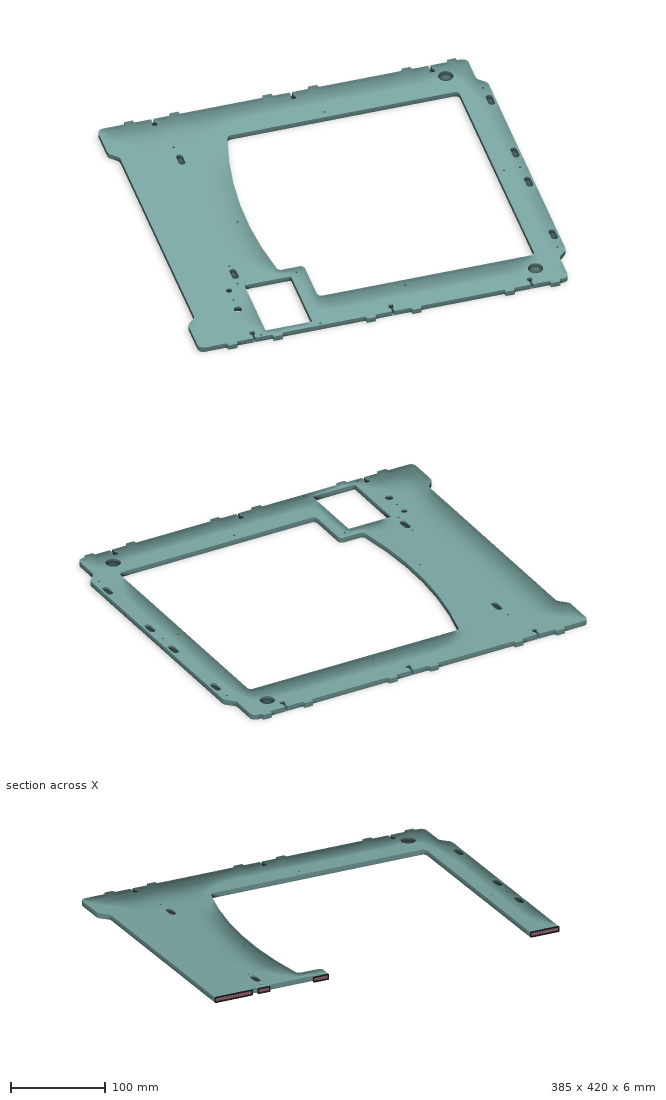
import cadquery as cq

OVERALL_WIDTH = 385.0
HEIGHT = 420.0
THICKNESS = 6.0
TAB_REACH = 3.8
HALF_BODY = OVERALL_WIDTH / 2 - TAB_REACH
HALF_HEIGHT = HEIGHT / 2

STEP = 10.0
TOP_EDGE_HALF = 143.5
BOTTOM_EDGE_HALF = 137.8
OUTLINE_RADIUS = 6.5

JOINT_PITCH = 153.7
MIDDLE_JOINT_Y = 5.0
JOINT_YS = [MIDDLE_JOINT_Y + i * JOINT_PITCH for i in (-1, 0, 1)]
TAB_OFFSET = 25.0
TAB_WIDTH = 10.0
TAB_ROOT_RADIUS = 1.5
SELECT_MARGIN = 0.5
TRAP_DEPTH_FROM_EDGE = 11.5
NUT_LENGTH = 5.0
NUT_WIDTH = 5.5
BOLT_WIDTH = 2.5
TRAP_FLOOR = 0.5

RECESS_FLOOR = 1.3
RECESS_DEPTH = THICKNESS - RECESS_FLOOR
ROUND_RECESS_DIAMETER = 16.5
ROUND_RECESSES = [(-167.0, 170.0), (164.2, 170.0)]
SLOT_LENGTH = 17.0
SLOT_WIDTH = 7.0
OUTER_SLOT_X = 116.0
INNER_SLOT_X = 25.0
TOP_SLOT_Y = 204.0
LOWER_SLOT_Y = -139.0
LOWER_RIGHT_SLOT_X = 81.0
SLOTS = [(x, TOP_SLOT_Y) for x in (-OUTER_SLOT_X, -INNER_SLOT_X, INNER_SLOT_X, OUTER_SLOT_X)]
SLOTS += [(-OUTER_SLOT_X, LOWER_SLOT_Y), (LOWER_RIGHT_SLOT_X, LOWER_SLOT_Y)]

WINDOW_LEFT = -139.0
WINDOW_RIGHT = 142.5
WINDOW_TOP = 176.0
WINDOW_ARC_BOTTOM = -101.0
WINDOW_ARC_RADIUS = 479.0
WINDOW_STEP_X = 89.0
WINDOW_STEP_Y = -64.3
WINDOW_RADIUS = 4.5

DISPLAY_LEFT = 102.5
DISPLAY_RIGHT = 180.0
DISPLAY_TOP = -82.5
DISPLAY_BOTTOM = -134.0

SCREW_DIAMETER = 2.5
SCREW_X = 137.5
TOP_SCREW_Y = 202.5
LOWER_SCREW_Y = -140.3
DISPLAY_SCREW_XS = (97.5, 185.5)
DISPLAY_SCREW_TOP_Y = -74.8
CONTROL_Y = -152.0
SCREW_HOLES = [
    (-SCREW_X, TOP_SCREW_Y),
    (0, TOP_SCREW_Y),
    (SCREW_X, TOP_SCREW_Y),
    (0, 184.5),
    (-147.5, 30.0),
    (150.8, 30.0),
    (0, -111.0),
    (-SCREW_X, LOWER_SCREW_Y),
    (67.0, LOWER_SCREW_Y),
    (122.2, CONTROL_Y),
]
SCREW_HOLES += [(x, y) for x in DISPLAY_SCREW_XS for y in (LOWER_SCREW_Y, DISPLAY_SCREW_TOP_Y)]
BUTTON_X = 106.0
BUTTON_DIAMETER = 6.7
KNOB_X = 138.0
KNOB_DIAMETER = 9.0


def box_between(left, right, bottom, top, floor=0.0):
    """Box over an X and Y range, from the given floor up to the top face."""
    height = THICKNESS - floor
    return (
        cq.Workplane("XY", origin=((left + right) / 2, (bottom + top) / 2, floor))
        .rect(right - left, top - bottom)
        .extrude(height)
    )


def body():
    """Plate outline without the side tabs, all its corners rounded."""
    right_half = [
        (TOP_EDGE_HALF, HALF_HEIGHT),
        (TOP_EDGE_HALF + STEP, HALF_HEIGHT - STEP),
        (HALF_BODY, HALF_HEIGHT - STEP),
        (HALF_BODY, -HALF_HEIGHT),
        (BOTTOM_EDGE_HALF + STEP, -HALF_HEIGHT),
        (BOTTOM_EDGE_HALF, -HALF_HEIGHT + STEP),
    ]
    left_half = [(-x, y) for x, y in reversed(right_half)]
    outline = cq.Workplane("XY").polyline(right_half + left_half).close()
    return outline.extrude(THICKNESS).edges("|Z").fillet(OUTLINE_RADIUS)


def side_tabs():
    """One bar across the full width for each mirrored pair of tabs."""
    centres = [(0, y + side * TAB_OFFSET) for y in JOINT_YS for side in (-1, 1)]
    return cq.Workplane("XY").pushPoints(centres).rect(OVERALL_WIDTH, TAB_WIDTH).extrude(THICKNESS)


def round_tab_roots(plate):
    """Round the inside corners where the tabs meet the two body sides."""
    tab_reach = TAB_OFFSET + TAB_WIDTH
    for side_x in (-HALF_BODY, HALF_BODY):
        side_zone = cq.selectors.BoxSelector(
            (side_x - SELECT_MARGIN, JOINT_YS[0] - tab_reach, -SELECT_MARGIN),
            (side_x + SELECT_MARGIN, JOINT_YS[-1] + tab_reach, THICKNESS + SELECT_MARGIN),
        )
        plate = plate.edges("|Z").edges(side_zone).fillet(TAB_ROOT_RADIUS)
    return plate


def window_arc_y(x):
    """Height of the arched lower window edge at a given X."""
    centre_y = WINDOW_ARC_BOTTOM + WINDOW_ARC_RADIUS
    return centre_y - (WINDOW_ARC_RADIUS**2 - x**2) ** 0.5


def main_window():
    """Large opening with a step in its lower right corner and rounded corners."""
    return (
        cq.Workplane("XY")
        .moveTo(WINDOW_LEFT, WINDOW_TOP)
        .lineTo(WINDOW_LEFT, window_arc_y(WINDOW_LEFT))
        .threePointArc((0, WINDOW_ARC_BOTTOM), (WINDOW_STEP_X, window_arc_y(WINDOW_STEP_X)))
        .lineTo(WINDOW_STEP_X, WINDOW_STEP_Y)
        .lineTo(WINDOW_RIGHT, WINDOW_STEP_Y)
        .lineTo(WINDOW_RIGHT, WINDOW_TOP)
        .close()
        .extrude(THICKNESS)
        .edges("|Z")
        .fillet(WINDOW_RADIUS)
    )


def nut_trap(y):
    """T-shaped recess open at the right edge: a bolt channel and a wider nut pocket."""
    inner_end = HALF_BODY - TRAP_DEPTH_FROM_EDGE
    channel = box_between(inner_end, HALF_BODY, y - BOLT_WIDTH / 2, y + BOLT_WIDTH / 2, TRAP_FLOOR)
    nut_end = inner_end + NUT_LENGTH
    pocket = box_between(inner_end, nut_end, y - NUT_WIDTH / 2, y + NUT_WIDTH / 2, TRAP_FLOOR)
    return channel.union(pocket)


def slot_recesses():
    """Round-ended slots from the recess floor up to the top face."""
    recess_plane = cq.Workplane("XY", origin=(0, 0, RECESS_FLOOR))
    return recess_plane.pushPoints(SLOTS).slot2D(SLOT_LENGTH, SLOT_WIDTH).extrude(RECESS_DEPTH)


def round_holes(points, diameter, floor=0.0):
    """Cylinders from the given floor up to the top face."""
    floor_plane = cq.Workplane("XY", origin=(0, 0, floor))
    return floor_plane.pushPoints(points).circle(diameter / 2).extrude(THICKNESS - floor)


result = round_tab_roots(body().union(side_tabs()))
for joint_y in JOINT_YS:
    right_trap = nut_trap(joint_y)
    result = result.cut(right_trap).cut(right_trap.mirror("YZ"))

result = result.cut(main_window())
result = result.cut(box_between(DISPLAY_LEFT, DISPLAY_RIGHT, DISPLAY_BOTTOM, DISPLAY_TOP))

result = result.cut(round_holes(ROUND_RECESSES, ROUND_RECESS_DIAMETER, RECESS_FLOOR))
result = result.cut(slot_recesses())

result = result.cut(round_holes(SCREW_HOLES, SCREW_DIAMETER))
result = result.cut(round_holes([(BUTTON_X, CONTROL_Y)], BUTTON_DIAMETER))
result = result.cut(round_holes([(KNOB_X, CONTROL_Y)], KNOB_DIAMETER))